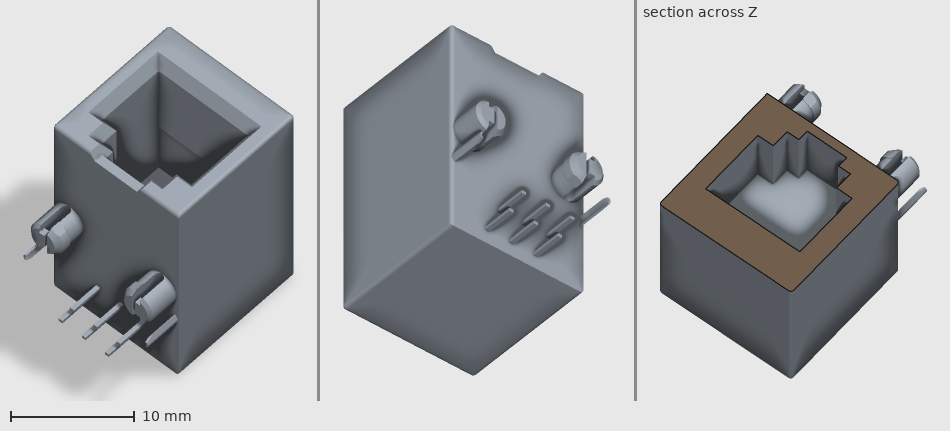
import cadquery as cq
import math

BODY_WIDTH = 13.84
BODY_DEPTH = 13.98
BODY_HEIGHT = 21.16
EDGE_RADIUS = 0.33

MOUTH_HALF_WIDTHS = (5.67, 4.06, 2.83)
MOUTH_STEP_YS = (2.93, 1.16)
MOUTH_BACK_Y = 11.3
MOUTH_INSET = 0.78
MOUTH_DRAFT_DEPTH = 1.15
CAVITY_DEPTH = 14.0
FRONT_WALL = 0.88
NOTCH_DEPTH = 0.74

PANEL_TOP_DEPTH = 1.44
PANEL_BOTTOM_DEPTH = 8.4
PANEL_RISE = 0.12

POST_X = 5.1
POST_Z = 10.35
POST_RADIUS = 1.58
POST_LENGTH = 3.15
POST_CHAMFER = 0.3
POST_SLOT_WIDTH = 0.9
BARB_RADIUS = 1.72
BARB_TIP_RADIUS = 1.3
BARB_START = 1.77
BARB_CONE_START = 2.55
BARB_FLAT_DISTANCE = 1.63
BARB_FLAT_ANGLE = 60.0
TONGUE_HEIGHT = 1.54
TONGUE_REACH = 0.55
TONGUE_LENGTH = 0.65

PITCH = 1.27
PIN_COUNT = 6
PIN_WIDTH = 0.42
PIN_THICKNESS = 0.3
PIN_LENGTH = POST_LENGTH
LOWER_ROW_Z = 1.43
ROW_SPACING = 2 * PITCH

TAB_LENGTH = 3.6
TAB_Z = 7.28
TAB_HALF_HEIGHT = 0.52
TAB_TIP_HALF_HEIGHT = 0.3
TAB_TAPER_START = 2.75
TAB_OUTER_X = 6.82
TAB_BEND_DEPTH = 0.22
TAB_FLAT_HALF_HEIGHT = 0.1
TAB_THICKNESS = 0.18

ROOT = 0.5


def block(x_range, y_range, z_range):
    """Box given by its limits along each axis."""
    sizes = [high - low for low, high in (x_range, y_range, z_range)]
    corner = (x_range[0], y_range[0], z_range[0])
    return cq.Workplane("XY").box(*sizes, centered=False).translate(corner)


def rod(radius, start, end):
    """Cylinder about the Y axis, running forward between two distances from y = 0."""
    direction = cq.Vector(0, -1, 0)
    base = cq.Vector(0, -start, 0)
    return cq.Workplane(cq.Solid.makeCylinder(radius, end - start, base, direction))


def housing():
    body = block(
        (-BODY_WIDTH / 2, BODY_WIDTH / 2), (0, BODY_DEPTH), (0, BODY_HEIGHT)
    )
    sharp = body.faces("<Y").edges(">X or <Z")
    sharp_centres = [edge.Center() for edge in sharp.vals()]
    rounded = [
        edge
        for edge in body.edges().vals()
        if all((edge.Center() - centre).Length > EDGE_RADIUS for centre in sharp_centres)
    ]
    return body.newObject(rounded).fillet(EDGE_RADIUS)


def cavity_outline(inset):
    """Right half of the stepped outline mirrored to the left, shrunk by inset."""
    main, shoulder, slot = [half - inset for half in MOUTH_HALF_WIDTHS]
    main_y, shoulder_y = [y + inset for y in MOUTH_STEP_YS]
    back_y = MOUTH_BACK_Y - inset
    front_y = -FRONT_WALL
    right = [
        (slot, front_y),
        (slot, shoulder_y),
        (shoulder, shoulder_y),
        (shoulder, main_y),
        (main, main_y),
        (main, back_y),
    ]
    left = [(-x, y) for x, y in reversed(right)]
    return right + left


def cavity():
    mouth = (
        cq.Workplane("XY", origin=(0, 0, BODY_HEIGHT))
        .polyline(cavity_outline(0))
        .close()
        .workplane(offset=-MOUTH_DRAFT_DEPTH)
        .polyline(cavity_outline(MOUTH_INSET))
        .close()
        .loft(ruled=True)
    )
    shaft = (
        cq.Workplane("XY", origin=(0, 0, BODY_HEIGHT - CAVITY_DEPTH))
        .polyline(cavity_outline(MOUTH_INSET))
        .close()
        .extrude(CAVITY_DEPTH - MOUTH_DRAFT_DEPTH)
    )
    front_wall = block(
        (-BODY_WIDTH / 2, BODY_WIDTH / 2),
        (-2 * FRONT_WALL, FRONT_WALL),
        (0, BODY_HEIGHT - NOTCH_DEPTH),
    )
    return mouth.union(shaft).cut(front_wall).cut(rear_panel())


def rear_panel():
    """Thin wedge on the rear wall, growing downward."""
    half_width = MOUTH_HALF_WIDTHS[0] - MOUTH_INSET
    wall_y = MOUTH_BACK_Y - MOUTH_INSET
    top_z = BODY_HEIGHT - PANEL_TOP_DEPTH
    bottom_z = BODY_HEIGHT - PANEL_BOTTOM_DEPTH
    return (
        cq.Workplane("YZ", origin=(-half_width, 0, 0))
        .polyline([(wall_y, top_z), (wall_y - PANEL_RISE, bottom_z), (wall_y, bottom_z)])
        .close()
        .extrude(2 * half_width)
    )


def barb():
    """Barbed snap head with sloping flats above and below."""
    profile = [
        (0, -BARB_START),
        (BARB_RADIUS, -BARB_START),
        (BARB_RADIUS, -BARB_CONE_START),
        (BARB_TIP_RADIUS, -POST_LENGTH),
        (0, -POST_LENGTH),
    ]
    head = cq.Workplane("XY").polyline(profile).close().revolve(360, (0, 0), (0, 1))
    size = 2 * BARB_RADIUS
    keep = cq.Workplane("XZ").rect(2 * size, 2 * BARB_FLAT_DISTANCE).extrude(POST_LENGTH)
    for tilt in (90 - BARB_FLAT_ANGLE, BARB_FLAT_ANGLE - 90):
        head = head.intersect(keep.rotate((0, 0, 0), (0, 1, 0), tilt))
    return head


def post():
    """Right-hand post about its own axis: barbed half on -X, plain half with a tongue on +X."""
    slot_half = POST_SLOT_WIDTH / 2
    reach = 2 * BARB_RADIUS
    stem = rod(POST_RADIUS, 0, POST_LENGTH)
    plain = stem.faces("<Y").chamfer(POST_CHAMFER)
    outer_side = block((0, reach), (-POST_LENGTH, 0), (-reach, reach))
    inner_side = block((-reach, 0), (-POST_LENGTH, 0), (-reach, reach))
    barbed = rod(POST_RADIUS, 0, BARB_START).union(barb())
    whole = plain.intersect(outer_side).union(barbed.intersect(inner_side))

    slot = block((-slot_half, slot_half), (-POST_LENGTH, -slot_half), (-reach, reach))
    slot_end = (
        cq.Workplane("XY", origin=(0, -slot_half, -reach)).circle(slot_half).extrude(2 * reach)
    )
    tongue = block(
        (slot_half - TONGUE_REACH, slot_half),
        (-POST_LENGTH, TONGUE_LENGTH - POST_LENGTH),
        (-TONGUE_HEIGHT / 2, TONGUE_HEIGHT / 2),
    )
    return whole.cut(slot).cut(slot_end).union(tongue).translate((POST_X, 0, POST_Z))


def contact_pins():
    pins = cq.Workplane("XY")
    for index in range(PIN_COUNT):
        x = (index - (PIN_COUNT - 1) / 2) * PITCH
        z = LOWER_ROW_Z + (index % 2) * ROW_SPACING
        pins = pins.union(
            block(
                (x - PIN_WIDTH / 2, x + PIN_WIDTH / 2),
                (-PIN_LENGTH, ROOT),
                (z - PIN_THICKNESS / 2, z + PIN_THICKNESS / 2),
            )
        )
    return pins


def shield_tab():
    """Right-hand tab: bent strip section trimmed to a tapered tip."""
    wing_run = TAB_HALF_HEIGHT - TAB_FLAT_HALF_HEIGHT
    wing_angle = math.atan2(TAB_BEND_DEPTH, wing_run)
    end_x = TAB_OUTER_X - TAB_BEND_DEPTH
    tip_x = end_x - TAB_THICKNESS * math.cos(wing_angle)
    tip_z = TAB_HALF_HEIGHT - TAB_THICKNESS * math.sin(wing_angle)
    inner_flat = TAB_FLAT_HALF_HEIGHT - TAB_THICKNESS * math.tan(wing_angle / 2)
    upper = [
        (TAB_OUTER_X, TAB_FLAT_HALF_HEIGHT),
        (end_x, TAB_HALF_HEIGHT),
        (tip_x, tip_z),
        (TAB_OUTER_X - TAB_THICKNESS, inner_flat),
    ]
    lower = [(x, -z) for x, z in reversed(upper)]
    strip = (
        cq.Workplane("XZ", origin=(0, ROOT, 0))
        .polyline(upper + lower)
        .close()
        .extrude(TAB_LENGTH + ROOT)
    )
    side = [
        (ROOT, TAB_HALF_HEIGHT),
        (-TAB_TAPER_START, TAB_HALF_HEIGHT),
        (-TAB_LENGTH, TAB_TIP_HALF_HEIGHT),
    ]
    outline = side + [(y, -z) for y, z in reversed(side)]
    blank = cq.Workplane("YZ").polyline(outline).close().extrude(BODY_WIDTH / 2)
    return strip.intersect(blank).translate((0, 0, TAB_Z))


result = housing().cut(cavity()).union(contact_pins())
for side_feature in (post(), shield_tab()):
    result = result.union(side_feature).union(side_feature.mirror("YZ"))